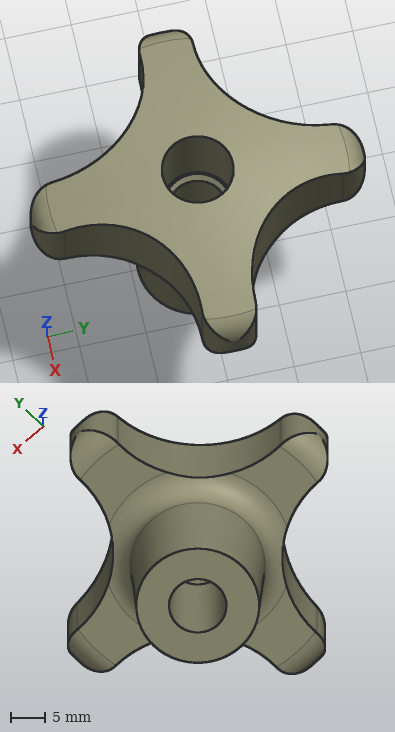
import cadquery as cq
import math

tip_radius = 25.0
crown_apex = 34.0
crown_radius = 68.0
head_bottom = 20.0

arm_half_width = 4.0
valley_floor = 12.4
valley_end = 20.75
edge_radius = 4.0

foot_radius = 9.0
taper = math.radians(3.0)
flare_radius = 4.0

clearance_radius = 5.25
thread_radius = 5.0
core_radius = 4.2
countersink_depth = thread_radius - core_radius


def ring_point(centre, radius, angle):
    """Point at an angle (radians) on a circle in the radius-height plane."""
    return (centre[0] + radius * math.cos(angle), centre[1] + radius * math.sin(angle))


def make_turned_body():
    """Domed disc with a rounded rim, flared into a tapered shank."""
    flare_z = head_bottom - flare_radius
    neck_z = flare_z + flare_radius * math.sin(taper)
    neck_radius = foot_radius + neck_z * math.tan(taper)
    flare_centre = (neck_radius + flare_radius * math.cos(taper), flare_z)
    flare_mid = ring_point(flare_centre, flare_radius, (1.5 * math.pi - taper) / 2)

    dome_centre = (0, crown_apex - crown_radius)
    rim_r = tip_radius - edge_radius
    dome_to_rim = crown_radius - edge_radius
    rim_angle = math.acos(rim_r / dome_to_rim)
    upper_rim = (rim_r, dome_centre[1] + dome_to_rim * math.sin(rim_angle))
    lower_rim = (rim_r, head_bottom + edge_radius)

    return (
        cq.Workplane("XZ")
        .lineTo(foot_radius, 0)
        .lineTo(neck_radius, neck_z)
        .threePointArc(flare_mid, (flare_centre[0], head_bottom))
        .lineTo(rim_r, head_bottom)
        .threePointArc(ring_point(lower_rim, edge_radius, -math.pi / 4), (tip_radius, lower_rim[1]))
        .lineTo(tip_radius, upper_rim[1])
        .threePointArc(
            ring_point(upper_rim, edge_radius, rim_angle / 2),
            ring_point(upper_rim, edge_radius, rim_angle),
        )
        .threePointArc(
            ring_point(dome_centre, crown_radius, (rim_angle + math.pi / 2) / 2),
            (0, crown_apex),
        )
        .close()
        .revolve(360, (0, 0), (0, 1))
    )


def make_star_prism():
    """Upright prism with four round-ended arms joined by concave scallops."""
    half = arm_half_width
    arm_end = tip_radius - half
    valley_mid = valley_floor * math.sqrt(0.5)
    outline = cq.Workplane("XY").moveTo(arm_end, -half)
    for arm in range(4):
        turn = cq.Location(cq.Vector(), cq.Vector(0, 0, 1), 90 * arm)

        def turned(x, y):
            spot = turn * cq.Location(cq.Vector(x, y, 0))
            return spot.toTuple()[0][:2]

        outline = (
            outline.threePointArc(turned(tip_radius, 0), turned(arm_end, half))
            .lineTo(*turned(valley_end, half))
            .threePointArc(turned(valley_mid, valley_mid), turned(half, valley_end))
            .lineTo(*turned(half, arm_end))
        )
    return outline.close().extrude(crown_apex)


def make_bore():
    """Wide bore down to the arm underside, a countersink, then a narrow through bore."""
    return (
        cq.Workplane("XZ")
        .lineTo(core_radius, 0)
        .lineTo(core_radius, head_bottom - countersink_depth)
        .lineTo(thread_radius, head_bottom)
        .lineTo(clearance_radius, head_bottom)
        .lineTo(clearance_radius, crown_apex)
        .lineTo(0, crown_apex)
        .close()
        .revolve(360, (0, 0), (0, 1))
    )


result = make_turned_body().intersect(make_star_prism()).cut(make_bore())